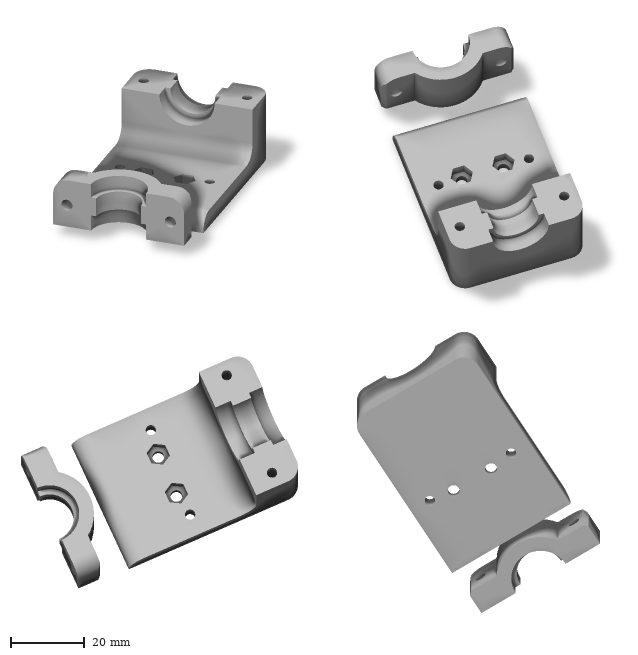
import cadquery as cq

width = 38.0
total_length = 67.0
corner_radius = 4.5

seat_length = 14.0
seat_radius = 16.0 / 2
rib_radius = 13.0 / 2
rib_length = 5.4
far_recess = 4.0
screw_spacing = 30.0
screw_offset = 7.5

base_length = 52.0
base_height = 20.0
plate_thickness = 5.0
block_hole_diameter = 2.8
block_hole_depth = 10.05

outer_hole_diameter = 2.8
outer_hole_spacing = 26.0
outer_hole_setback = 31.0
bolt_diameter = 3.2
bolt_spacing = 12.0
bolt_setback = 31.95
nut_corner_diameter = 6.35
nut_depth = 3.0

cap_top = 17.0
cap_radius = 12.0
ear_thickness = 7.0
ear_chamfer = 1.1
cap_hole_diameter = 3.2

back_y = total_length / 2
cap_y = -total_length / 2


def bearing_bore():
    """Stepped round bore along +Z, starting at the far recess with its origin on the axis."""
    rib = cq.Workplane("XY").circle(rib_radius).extrude(seat_length)
    first_recess = cq.Workplane("XY").circle(seat_radius).extrude(far_recess)
    near_start = far_recess + rib_length
    second_recess = (
        cq.Workplane("XY").workplane(offset=near_start)
        .circle(seat_radius).extrude(seat_length - near_start)
    )
    return rib.union(first_recess).union(second_recess)


def make_base():
    """L-shaped base: a thin plate with a block at the back holding half of the seat."""
    front_y = back_y - base_length
    block_front_y = back_y - seat_length
    body = (
        cq.Workplane("YZ")
        .moveTo(back_y, 0)
        .lineTo(back_y, base_height)
        .lineTo(block_front_y, base_height)
        .lineTo(block_front_y, plate_thickness + corner_radius)
        .radiusArc((block_front_y - corner_radius, plate_thickness), corner_radius)
        .lineTo(front_y + corner_radius, plate_thickness)
        .radiusArc((front_y, plate_thickness - corner_radius), -corner_radius)
        .lineTo(front_y, 0)
        .close()
        .extrude(width / 2, both=True)
    )
    body = body.edges("|Z and >Y").fillet(corner_radius)

    bore = bearing_bore().rotate((0, 0, 0), (1, 0, 0), 90)
    body = body.cut(bore.translate((0, back_y, base_height)))

    screw_holes = (
        cq.Workplane("XY", origin=(0, back_y - screw_offset, base_height))
        .rarray(screw_spacing, 0.7, 2, 1)
        .circle(block_hole_diameter / 2)
        .extrude(-block_hole_depth)
    )

    outer_holes = (
        cq.Workplane("XY", origin=(0, back_y - outer_hole_setback, 0))
        .rarray(outer_hole_spacing, 0.7, 2, 1)
        .circle(outer_hole_diameter / 2)
        .extrude(plate_thickness)
    )

    bolt_y = back_y - bolt_setback
    bolt_holes = (
        cq.Workplane("XY", origin=(0, bolt_y, 0))
        .rarray(bolt_spacing, 0.7, 2, 1)
        .circle(bolt_diameter / 2)
        .extrude(plate_thickness)
    )
    nut_pockets = (
        cq.Workplane("XY", origin=(0, bolt_y, plate_thickness))
        .rarray(bolt_spacing, 0.7, 2, 1)
        .polygon(6, nut_corner_diameter)
        .extrude(-nut_depth)
    )
    return body.cut(screw_holes).cut(outer_holes).cut(bolt_holes).cut(nut_pockets)


def make_cap():
    """Clamp cap standing on end: a half ring with two screw ears."""
    cap_bottom = cap_top - seat_length
    plane = cq.Workplane("XY", origin=(0, cap_y, cap_bottom))
    ears = (
        plane.rect(width, 2 * ear_thickness).extrude(seat_length)
        .edges("|Y and >Z").fillet(corner_radius)
    )

    bevel_envelope = (
        plane.rect(width, 2 * ear_thickness).extrude(seat_length)
        .edges("|Z").chamfer(ear_chamfer)
    )
    ring = plane.circle(cap_radius).extrude(seat_length)
    body = ears.intersect(bevel_envelope).union(ring)

    rear_half = plane.center(0, cap_radius / 2).rect(width, cap_radius).extrude(seat_length)
    body = body.intersect(rear_half)

    bore = bearing_bore().rotate((0, 0, 0), (1, 0, 0), 180)
    body = body.cut(bore.translate((0, cap_y, cap_top)))

    screw_holes = (
        cq.Workplane("XZ", origin=(0, cap_y, cap_top - screw_offset))
        .rarray(screw_spacing, 0.7, 2, 1)
        .circle(cap_hole_diameter / 2)
        .extrude(-ear_thickness)
    )
    return body.cut(screw_holes)


base = make_base()
cap = make_cap()
result = cq.Compound.makeCompound([base.val(), cap.val()])